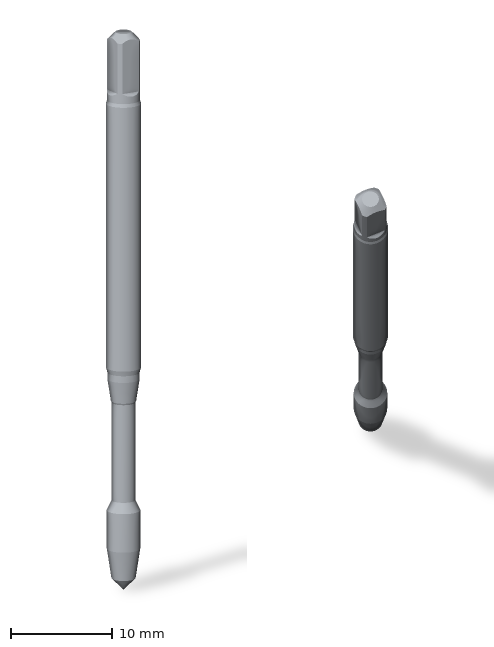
import cadquery as cq

TIP_CONE_TOP = 1.2
HEAD_BOTTOM = 4.25
HEAD_TOP = 8.2
NECK_BOTTOM = 9.2
HOLDER_BOTTOM = 19.2
TAPER_BOTTOM = 19.4
TAPER_TOP = 21.6
BARREL_CONE_BOTTOM = 22.3
BARREL_BOTTOM = 22.8
BARREL_TOP = 49.9
SHANK_BOTTOM = 50.2
FLAT_BOTTOM = 51.25
TOTAL_LENGTH = 57.2

NECK_DIAMETER = 2.35
HEAD_DIAMETER = 3.3
HEAD_TAPER_END_DIAMETER = 2.4
BARREL_DIAMETER = 3.5
COLLAR_DIAMETER = 3.2
TAPER_END_DIAMETER = 2.5
SHANK_DIAMETER = 3.25
SHANK_END_DIAMETER = 1.65

SQUARE_WIDTH = 2.65


def turned(profile):
    """Revolve (diameter, height) points about the Z axis."""
    points = [(diameter / 2, height) for diameter, height in profile]
    bottom = points[0][1]
    top = points[-1][1]
    outline = [(0, bottom), *points, (0, top)]
    if points[0][0] == 0:
        outline = outline[1:]
    return cq.Workplane("XZ").polyline(outline).close().revolve(360, (0, 0), (0, 1))


def make_flat_cutter():
    """Waste beside one flat: vertical inner face and a 45 degree run-out at its foot."""
    flat_offset = SQUARE_WIDTH / 2
    outer = BARREL_DIAMETER / 2
    run_out = outer - flat_offset
    outline = [
        (flat_offset, FLAT_BOTTOM),
        (outer, FLAT_BOTTOM - run_out),
        (outer, TOTAL_LENGTH),
        (flat_offset, TOTAL_LENGTH),
    ]
    return cq.Workplane("XZ").polyline(outline).close().extrude(outer, both=True)


def make_holder():
    """Barrel with a tapered nose below and a square drive on its round shank."""
    chamfer_height = (SHANK_DIAMETER - SHANK_END_DIAMETER) / 2
    holder = turned([
        (NECK_DIAMETER, HOLDER_BOTTOM),
        (TAPER_END_DIAMETER, TAPER_BOTTOM),
        (COLLAR_DIAMETER, TAPER_TOP),
        (COLLAR_DIAMETER, BARREL_CONE_BOTTOM),
        (BARREL_DIAMETER, BARREL_BOTTOM),
        (BARREL_DIAMETER, BARREL_TOP),
        (SHANK_DIAMETER, SHANK_BOTTOM),
        (SHANK_DIAMETER, TOTAL_LENGTH - chamfer_height),
        (SHANK_END_DIAMETER, TOTAL_LENGTH),
    ])
    cutter = make_flat_cutter()
    for angle in (0, 90, 180, 270):
        holder = holder.cut(cutter.rotate((0, 0, 0), (0, 0, 1), angle))
    return holder


def make_pin():
    """Slim neck carrying a tapered head with a pointed tip."""
    return turned([
        (0, 0),
        (HEAD_TAPER_END_DIAMETER, TIP_CONE_TOP),
        (HEAD_DIAMETER, HEAD_BOTTOM),
        (HEAD_DIAMETER, HEAD_TOP),
        (NECK_DIAMETER, NECK_BOTTOM),
        (NECK_DIAMETER, HOLDER_BOTTOM),
    ])


holder = make_holder()
pin = make_pin()

result = cq.Compound.makeCompound([holder.val(), pin.val()])